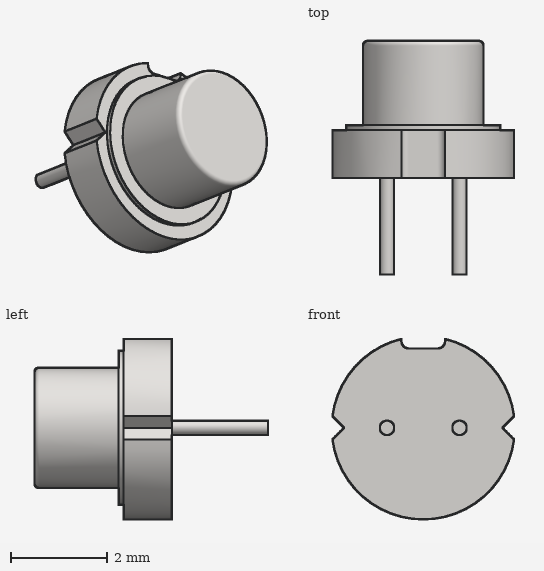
import cadquery as cq
import math

disc_radius = 1.9
disc_thickness = 1.0

flange_radius = 1.6
flange_thickness = 0.1
can_radius = 1.25
can_length = 1.75
can_edge_radius = 0.1

pin_radius = 0.15
pin_length = 2.0
pin_offset = 0.75

slot_width = 0.9
slot_floor = 1.65
slot_corner_radius = 0.15
notch_tip = 1.645
notch_angle = 90.0


def cylinder(radius, start, length, x=0):
    """Cylinder along +Y from Y = start, centred at the given X."""
    base = cq.Vector(x, start, 0)
    return cq.Workplane(cq.Solid.makeCylinder(radius, length, base, cq.Vector(0, 1, 0)))


def rim_slot():
    """Flat-floored slot at the top of the rim, with rounded floor corners."""
    height = disc_radius - slot_floor
    return (
        cq.Workplane("XY")
        .box(slot_width, disc_thickness, height, centered=(True, False, False))
        .edges("|Y and <Z")
        .fillet(slot_corner_radius)
        .translate((0, 0, slot_floor))
    )


def rim_notch(side):
    """V-shaped notch on the +X (side = 1) or -X (side = -1) rim."""
    half_height = (disc_radius - notch_tip) * math.tan(math.radians(notch_angle / 2))
    return (
        cq.Workplane("XZ")
        .moveTo(side * notch_tip, 0)
        .lineTo(side * disc_radius, half_height)
        .lineTo(side * disc_radius, -half_height)
        .close()
        .extrude(-disc_thickness)
    )


disc = cylinder(disc_radius, 0, disc_thickness).cut(rim_slot())
for side in (-1, 1):
    disc = disc.cut(rim_notch(side))

flange = cylinder(flange_radius, disc_thickness, flange_thickness)
can_start = disc_thickness + flange_thickness
can = cylinder(can_radius, can_start, can_length).faces(">Y").edges().fillet(can_edge_radius)

result = disc.union(flange).union(can)
for side in (-1, 1):
    result = result.union(cylinder(pin_radius, -pin_length, pin_length, side * pin_offset))